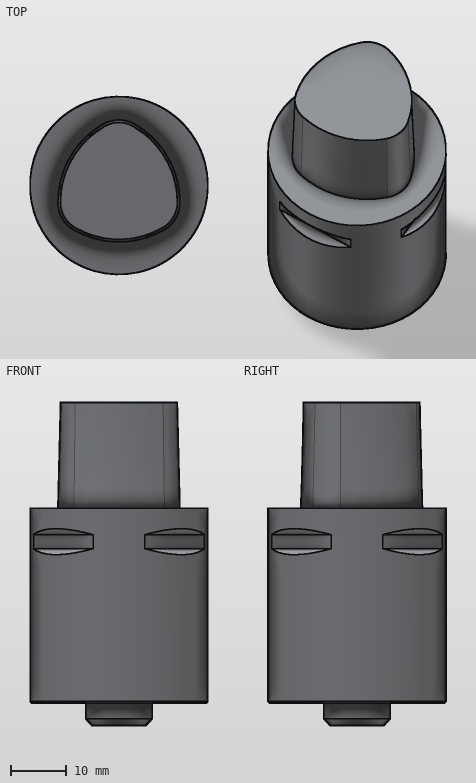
import cadquery as cq
import math

total_height = 58.05
shank_height = 19.0
pin_length = 4.05
housing_height = total_height - shank_height - pin_length
housing_top = pin_length + housing_height

housing_diameter = 32.0
housing_radius = housing_diameter / 2
bottom_chamfer = 0.3

notch_count = 4
notch_first_angle = 45.0
notch_flat_distance = 14.1
notch_floor_height = 2.5
notch_side_slope = 30.0
notch_centre_drop = 6.05

lobe_count = 3
lobe_centre_distance = 6.1
lobe_radius = 5.7
shank_taper = math.degrees(math.atan(1 / 40))

pin_diameter = 12.0
pin_chamfer_height = 1.3
pin_chamfer_width = 1.15


def polar(radius, angle):
    """Point at a distance and an angle in degrees from the axis."""
    return (radius * math.cos(math.radians(angle)), radius * math.sin(math.radians(angle)))


def make_shank():
    """Three small lobe arcs joined tangentially by three large flank arcs."""
    lobe_spacing = 360 / lobe_count
    half_lobe_arc = lobe_spacing / 4
    flank_radius = lobe_centre_distance * math.sqrt(3) + lobe_radius
    flank_middle_distance = flank_radius - lobe_centre_distance

    def lobe_point(lobe_angle, offset):
        centre_x, centre_y = polar(lobe_centre_distance, lobe_angle)
        dx, dy = polar(lobe_radius, lobe_angle + offset)
        return (centre_x + dx, centre_y + dy)

    first_lobe_angle = 90.0
    outline = cq.Workplane("XY").workplane(offset=housing_top)
    outline = outline.moveTo(*lobe_point(first_lobe_angle, -half_lobe_arc))
    for index in range(lobe_count):
        angle = first_lobe_angle + index * lobe_spacing
        next_angle = angle + lobe_spacing
        flank_middle = polar(flank_middle_distance, angle + lobe_spacing / 2)
        outline = outline.threePointArc(lobe_point(angle, 0), lobe_point(angle, half_lobe_arc))
        outline = outline.threePointArc(flank_middle, lobe_point(next_angle, -half_lobe_arc))
    return outline.close().extrude(shank_height, taper=shank_taper)


def make_notch_cutter():
    """Flat-floored notch with sloping sides, cut across the +X side of the housing."""
    outer_distance = housing_radius + 0.6
    half_floor = notch_floor_height / 2
    flare = (outer_distance - notch_flat_distance) * math.tan(math.radians(notch_side_slope))
    half_mouth = half_floor + flare
    profile = [
        (notch_flat_distance, -half_floor),
        (outer_distance, -half_mouth),
        (outer_distance, half_mouth),
        (notch_flat_distance, half_floor),
    ]
    cutter = cq.Workplane("XZ").polyline(profile).close().extrude(housing_radius, both=True)
    return cutter.translate((0, 0, housing_top - notch_centre_drop))


def make_housing():
    """Plain cylinder with a broken lower edge and evenly spaced notches."""
    housing = cq.Workplane("XY").workplane(offset=pin_length).circle(housing_radius).extrude(housing_height)
    housing = housing.faces("<Z").chamfer(bottom_chamfer)
    cutter = make_notch_cutter()
    for index in range(notch_count):
        angle = notch_first_angle + index * 360 / notch_count
        housing = housing.cut(cutter.rotate((0, 0, 0), (0, 0, 1), angle))
    return housing


def make_pin():
    """Short pin below the housing, chamfered at its tip."""
    pin = cq.Workplane("XY").circle(pin_diameter / 2).extrude(pin_length)
    return pin.faces("<Z").edges().chamfer(pin_chamfer_height, pin_chamfer_width)


shank = make_shank()
housing = make_housing()
pin = make_pin()

result = cq.Compound.makeCompound([shank.val(), housing.val(), pin.val()])